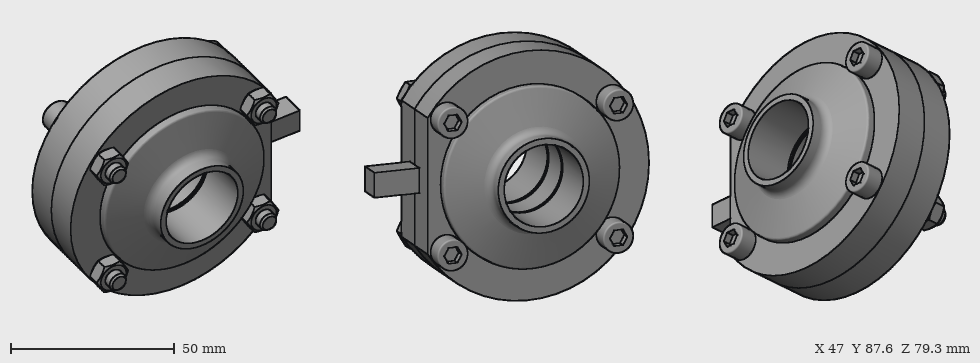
import cadquery as cq
import math


overall_length = 87.6

flange_diameter = 79.3
flange_thickness = 10.95
flat_offset = 33.2
boss_diameter = 58.0
boss_height = 2.7
boss_edge_radius = 0.8
pipe_diameter = 30.0
bore_diameter = 26.0
half_length = 23.52
neck_diameter = 34.0
neck_fillet_radius = 3.1
pipe_straight_length = 3.6

bolt_y = 27.2
bolt_z = 21.0
head_diameter = 10.0
head_height = 6.0
head_edge_radius = 0.5
socket_width = 5.0
socket_depth = 2.5
nut_width = 10.0
nut_height = 5.0
nut_face_diameter = 9.2
nut_chamfer_angle = 30
shank_diameter = 6.0
shank_end = 19.2
tip_chamfer_length = 0.8
tip_chamfer_depth = 0.5

ring_diameter = 42.0
ring_half_width = 6.5
groove_offset = 5.5
groove_width = 0.4
groove_depth = 0.1
handle_width = 8.0

flange_radius = flange_diameter / 2
bore_radius = bore_diameter / 2
pipe_radius = pipe_diameter / 2
bolt_places = [(y, z) for y in (-bolt_y, bolt_y) for z in (-bolt_z, bolt_z)]
handle_end = overall_length - flange_radius
cos30 = math.cos(math.radians(30))


def x_cylinder(diameter, start, length, y=0, z=0):
    """Cylinder along X that begins at X = start."""
    return cq.Workplane("YZ", origin=(start, y, z)).circle(diameter / 2).extrude(length)


def x_hexagon(width, start, length, y=0, z=0):
    """Hexagonal bar along X with its corners toward +Y and -Y."""
    return (
        cq.Workplane("YZ", origin=(start, y, z))
        .polygon(6, width / cos30)
        .extrude(length)
    )


def handle_bar():
    """Square bar that runs from the axis out to the handle tip."""
    return cq.Workplane("XY").box(
        handle_width, handle_end, handle_width, centered=(True, False, True)
    )


def flange_and_pipe():
    """Revolved half housing on the +X side, without bolts or nuts."""
    boss_radius = boss_diameter / 2
    neck_radius = neck_diameter / 2
    boss_top = flange_thickness + boss_height
    fillet_end = half_length - pipe_straight_length

    fillet_centre_radius = pipe_radius + neck_fillet_radius
    sweep = math.acos((fillet_centre_radius - neck_radius) / neck_fillet_radius)
    neck_x = fillet_end - neck_fillet_radius * math.sin(sweep)
    middle_x = fillet_end - neck_fillet_radius * math.sin(sweep / 2)
    middle_radius = fillet_centre_radius - neck_fillet_radius * math.cos(sweep / 2)

    body = (
        cq.Workplane("XY")
        .moveTo(0, ring_diameter / 2)
        .lineTo(0, flange_radius)
        .lineTo(flange_thickness, flange_radius)
        .lineTo(flange_thickness, boss_radius)
        .lineTo(boss_top, boss_radius)
        .lineTo(neck_x, neck_radius)
        .threePointArc((middle_x, middle_radius), (fillet_end, pipe_radius))
        .lineTo(half_length, pipe_radius)
        .lineTo(half_length, bore_radius)
        .lineTo(ring_half_width, bore_radius)
        .lineTo(ring_half_width, ring_diameter / 2)
        .close()
        .revolve(360, (0, 0, 0), (1, 0, 0))
    )
    boss_edge = cq.selectors.NearestToPointSelector((boss_top, 0, 0))
    body = body.edges(boss_edge).fillet(boss_edge_radius)
    beyond_flat = cq.Workplane("XY", origin=(0, flat_offset, 0)).box(
        flange_diameter, flange_diameter, flange_diameter, centered=(True, False, True)
    )
    return body.cut(beyond_flat).cut(handle_bar())


def bolt_head(y, z):
    """Cylinder head with a hexagonal socket, on the -X flange face."""
    top = -flange_thickness - head_height
    head = x_cylinder(head_diameter, top, head_height, y, z)
    head = head.faces("<X").edges().fillet(head_edge_radius)
    return head.cut(x_hexagon(socket_width, top, socket_depth, y, z))


def bolt_tip(y, z):
    """Chamfered end of the bolt shank, starting at the +X flange face."""
    tip_radius = shank_diameter / 2
    return (
        cq.Workplane("XY", origin=(0, y, z))
        .moveTo(flange_thickness, 0)
        .lineTo(flange_thickness, tip_radius)
        .lineTo(shank_end - tip_chamfer_length, tip_radius)
        .lineTo(shank_end, tip_radius - tip_chamfer_depth)
        .lineTo(shank_end, 0)
        .close()
        .revolve(360, (0, 0, 0), (1, 0, 0))
    )


def nut_and_tip(y, z):
    """Chamfered nut on the +X flange face, with the bolt tip standing out of it."""
    corner_radius = nut_width / cos30 / 2
    face_radius = nut_face_diameter / 2
    chamfer_height = (corner_radius - face_radius) * math.tan(math.radians(nut_chamfer_angle))
    nut_top = flange_thickness + nut_height
    envelope = (
        cq.Workplane("XY", origin=(0, y, z))
        .moveTo(flange_thickness, 0)
        .lineTo(flange_thickness, face_radius)
        .lineTo(flange_thickness + chamfer_height, corner_radius)
        .lineTo(nut_top - chamfer_height, corner_radius)
        .lineTo(nut_top, face_radius)
        .lineTo(nut_top, 0)
        .close()
        .revolve(360, (0, 0, 0), (1, 0, 0))
    )
    nut = x_hexagon(nut_width, flange_thickness, nut_height, y, z).intersect(envelope)
    return nut.union(bolt_tip(y, z))


head_half = flange_and_pipe().mirror("YZ")
for place_y, place_z in bolt_places:
    head_half = head_half.union(bolt_head(place_y, place_z))

nut_half = flange_and_pipe()
for place_y, place_z in bolt_places:
    nut_half = nut_half.union(nut_and_tip(place_y, place_z))

seat = (
    x_cylinder(ring_diameter, -ring_half_width, 2 * ring_half_width)
    .union(handle_bar())
    .cut(x_cylinder(bore_diameter, -half_length, 2 * half_length))
)
for groove_x in (-groove_offset, groove_offset):
    groove_start = groove_x - groove_width / 2
    seat = seat.cut(x_cylinder(bore_diameter + 2 * groove_depth, groove_start, groove_width))

result = cq.Compound.makeCompound([head_half.val(), nut_half.val(), seat.val()])